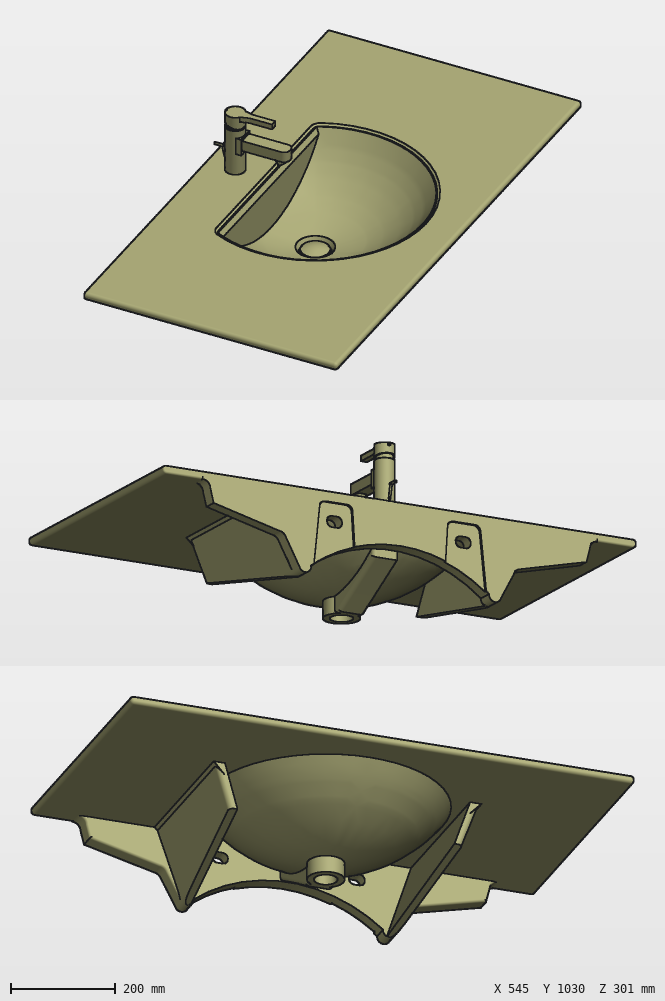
import cadquery as cq
import math

DECK_LENGTH = 1030.0
DECK_DEPTH = 545.0
DECK_THICKNESS = 16.0
DECK_EDGE_RADIUS = 7.0
DECK_REAR_RADIUS = 4.0
TOTAL_HEIGHT = 301.0
FAUCET_HEIGHT = 131.0
BASIN_BOTTOM = FAUCET_HEIGHT - TOTAL_HEIGHT
OVERLAP = 5.0

WALL_THICKNESS = 33.0
WALL_EDGE_RADIUS = 5.0
ARCH_TOP = -88.0
ARCH_RADIUS = 309.0
ARCH_HALF_WIDTH = 194.0
FOOT_Y = 207.0
FOOT_OUTER = (219.0, -161.0)
WING_BEND_START = (249.0, -105.0)
WING_BEND_MIDDLE = (254.0, -99.0)
WING_BEND_END = (263.0, -96.0)
WING_TIP = (406.0, -61.0)
WING_TOP = (413.0, -33.0)
WING_TOP_RADIUS = 16.0
RIB_OUTER_TOP = 268.0
RIB_OUTER_FOOT = 216.0
RIB_THICKNESS = 15.0
RIB_FRONT_TOP = 353.0
RIB_FRONT_BOTTOM = (344.0, -105.0)
RIB_EDGE_RADIUS = 10.0
RIB_ROOT_FLARE = 6.0

MOUNT_DEPTH = 5.0
MOUNT_TOP = -22.0
MOUNT_TOP_SPAN = (104.0, 174.0)
MOUNT_BOTTOM_SPAN = (95.0, 190.0)
MOUNT_CORNER_RADIUS = 13.0
SLOT_Y = 140.0
SLOT_Z = -59.0
SLOT_LENGTH = 33.0
SLOT_HEIGHT = 23.0

BOWL_X = 235.0
RIM_RADIUS = 239.0
RIM_LIP_WIDTH = 5.0
RIM_LIP_DEPTH = 4.0
RIM_LIP_EDGE = 0.5
RIM_REAR_X = 124.0
RIM_CORNER_RADIUS = 23.0
BOWL_REAR_TOP_X = 129.0
BOWL_REAR_X = 139.0
BOWL_REAR_KNEE_Z = -15.0
SHELL_THICKNESS = 9.0
SHELL_TOP = (240.0, -16.0)
SHELL_MIDDLE = (146.0, -98.0)
SHELL_BOTTOM = (36.0, -136.0)

COLLAR_RADIUS = 36.0
LIP_RADIUS = 38.0
SEAT_RADIUS = 32.0
SEAT_Z = -138.0
DRAIN_BORE_RADIUS = 23.0
CHANNEL_WIDTH = 56.0
CHANNEL_EDGE_RADIUS = 8.0
CHANNEL_REAR = (57.0, -98.0)
CHANNEL_KNEE = (148.0, -145.0)
CHANNEL_FOOT_X = 196.0

PLUG_RADIUS = 29.0
PLUG_EDGE_HEIGHT = 6.0
PLUG_DOME_HEIGHT = 6.0

FAUCET_X = 63.0
BODY_DIAMETER = 40.0
BODY_RADIUS = BODY_DIAMETER / 2
BODY_HEIGHT = 100.0
NECK_RADIUS = 18.0
CAP_REAR_BOTTOM = 110.0
CAP_FRONT_BOTTOM = 102.0
LEVER_END_X = 145.0
LEVER_WIDTH = 13.0
LEVER_ROOT_WIDTH = 25.0
LEVER_TAPER_END_X = 97.0
LEVER_THICKNESS = 11.0
MARK_DIAMETER = 5.0
MARK_DEPTH = 2.0
MARK_Z = 128.0
SPOUT_END_X = 181.0
SPOUT_BOTTOM = 57.0
SPOUT_TOP = 79.0
SPOUT_WIDTH = 29.0
SPOUT_END_RADIUS = 12.0
SPOUT_COLLAR_END_X = 84.0
SPOUT_COLLAR_BOTTOM = 47.0
SPOUT_COLLAR_TOP = 83.0
SPOUT_COLLAR_WIDTH = 35.0
OUTLET_RADIUS = 11.0
OUTLET_LENGTH = 18.0
OUTLET_TILT = 30.0
OUTLET_MOUTH = (166.0, 46.0)
ROD_DIAMETER = 4.3
KNOB_DIAMETER = 5.0
KNOB_START_X = 19.0
ROD_TOP = (36.0, 46.0)
ROD_FOOT = (44.0, 13.0)


def box(x_span, y_span, z_span):
    """Block between two values along each axis."""
    size = [span[1] - span[0] for span in (x_span, y_span, z_span)]
    corner = (x_span[0], y_span[0], z_span[0])
    return cq.Workplane("XY").box(*size, centered=False).translate(corner)


def side_prism(points, width):
    """XZ outline extruded evenly to both sides of the Y = 0 plane."""
    return cq.Workplane("XZ").polyline(points).close().extrude(width / 2, both=True)


def rod(start, end, diameter):
    """Round rod between two XZ points in the Y = 0 plane."""
    run = cq.Vector(end[0] - start[0], 0, end[1] - start[1])
    base = cq.Vector(start[0], 0, start[1])
    return cq.Workplane(cq.Solid.makeCylinder(diameter / 2, run.Length, base, run))


def both_sides(shape):
    """Shape together with its mirror image across the Y = 0 plane."""
    return shape.union(shape.mirror("XZ"))



def make_deck():
    deck = box((0, DECK_DEPTH), (-DECK_LENGTH / 2, DECK_LENGTH / 2), (-DECK_THICKNESS, 0))
    deck = deck.edges(">X or >Y or <Y").edges("not <X").fillet(DECK_EDGE_RADIUS)
    return deck.edges("<X and >Z").fillet(DECK_REAR_RADIUS)


def wall_prism(length):
    """Rear wall silhouette, extruded forward from X = 0."""
    arch_side_z = ARCH_TOP - ARCH_RADIUS + math.sqrt(ARCH_RADIUS**2 - ARCH_HALF_WIDTH**2)
    arch_half_y = ARCH_HALF_WIDTH / 2
    arch_half_z = ARCH_TOP - ARCH_RADIUS + math.sqrt(ARCH_RADIUS**2 - arch_half_y**2)
    wing_root = (WING_TOP[0] + WING_TOP_RADIUS, -DECK_THICKNESS)
    wing_curve = (
        wing_root[0] - WING_TOP_RADIUS * math.sin(math.pi / 4),
        wing_root[1] - WING_TOP_RADIUS * (1 - math.cos(math.pi / 4)),
    )
    half = (
        cq.Workplane("YZ")
        .moveTo(0, ARCH_TOP)
        .threePointArc((arch_half_y, arch_half_z), (ARCH_HALF_WIDTH, arch_side_z))
        .threePointArc((FOOT_Y, BASIN_BOTTOM), FOOT_OUTER)
        .lineTo(*WING_BEND_START)
        .threePointArc(WING_BEND_MIDDLE, WING_BEND_END)
        .lineTo(*WING_TIP)
        .lineTo(*WING_TOP)
        .threePointArc(wing_curve, wing_root)
        .lineTo(wing_root[0], -DECK_THICKNESS + OVERLAP)
        .lineTo(0, -DECK_THICKNESS + OVERLAP)
        .close()
        .extrude(length)
    )
    return both_sides(half)


def make_wall():
    """Rear wall with the front edges of its two wings rounded."""
    wall = wall_prism(WALL_THICKNESS)
    for side in (-1, 1):
        wing = cq.selectors.BoxSelector(
            (0, side * FOOT_OUTER[0], BASIN_BOTTOM),
            (DECK_DEPTH, side * DECK_LENGTH / 2, -DECK_THICKNESS),
        )
        wall = wall.faces(">X").edges(wing).fillet(WALL_EDGE_RADIUS)
    return wall


def make_ribs():
    """Leaning ribs, flared at the deck, that run forward from the feet and get lower towards the front."""
    rib_top = -DECK_THICKNESS + OVERLAP
    section = [
        (RIB_OUTER_TOP + RIB_ROOT_FLARE, rib_top),
        (RIB_OUTER_TOP + RIB_ROOT_FLARE, -DECK_THICKNESS),
        (RIB_OUTER_TOP, -DECK_THICKNESS - RIB_ROOT_FLARE),
        (RIB_OUTER_FOOT, BASIN_BOTTOM),
        (RIB_OUTER_FOOT - RIB_THICKNESS, BASIN_BOTTOM),
        (RIB_OUTER_TOP - RIB_THICKNESS, rib_top),
    ]
    side = [
        (0, rib_top),
        (0, BASIN_BOTTOM),
        (WALL_THICKNESS, BASIN_BOTTOM),
        RIB_FRONT_BOTTOM,
        (RIB_FRONT_TOP, rib_top),
    ]
    rib = cq.Workplane("YZ").polyline(section).close().extrude(RIB_FRONT_TOP)
    rib = rib.intersect(side_prism(side, DECK_LENGTH))
    rib = rib.faces(">X").edges("not |Y").edges("<Z").edges(">Y").fillet(RIB_EDGE_RADIUS)
    return both_sides(rib).intersect(wall_prism(RIB_FRONT_TOP))


def cut_mounts(basin):
    """Shallow tapered recess with a through slot, on each side of the rear wall."""
    outline = [
        (MOUNT_TOP_SPAN[0], MOUNT_TOP),
        (MOUNT_TOP_SPAN[1], MOUNT_TOP),
        (MOUNT_BOTTOM_SPAN[1], BASIN_BOTTOM),
        (MOUNT_BOTTOM_SPAN[0], BASIN_BOTTOM),
    ]
    recess = cq.Workplane("YZ").polyline(outline).close().extrude(MOUNT_DEPTH)
    recess = recess.edges("|X and >Z").fillet(MOUNT_CORNER_RADIUS)
    slot = (
        cq.Workplane("YZ")
        .center(SLOT_Y, SLOT_Z)
        .slot2D(SLOT_LENGTH, SLOT_HEIGHT)
        .extrude(WALL_THICKNESS)
    )
    return basin.cut(both_sides(recess)).cut(both_sides(slot))


def turned_bowl(rim, middle, bottom):
    """Solid of revolution whose wall is an arc through three radius and height pairs."""
    return (
        cq.Workplane("XZ")
        .moveTo(0, rim[1])
        .lineTo(*rim)
        .threePointArc(middle, bottom)
        .lineTo(0, bottom[1])
        .close()
        .revolve(360, (0, 0), (0, 1))
        .translate((BOWL_X, 0, 0))
    )


def make_shell():
    """Outside of the bowl, from the rear wall forward and just into the deck."""
    shell = turned_bowl(SHELL_TOP, SHELL_MIDDLE, SHELL_BOTTOM)
    in_front = box((OVERLAP, DECK_DEPTH), (-DECK_LENGTH / 2, DECK_LENGTH / 2), (BASIN_BOTTOM, 0))
    return shell.intersect(in_front)


def cavity():
    """Inside of the bowl, cut off by its rear wall, with a sloping lip around the rim."""
    inward = SHELL_THICKNESS * math.cos(math.pi / 4)
    inside = turned_bowl(
        (RIM_RADIUS - RIM_LIP_WIDTH, 0),
        (SHELL_MIDDLE[0] - inward, SHELL_MIDDLE[1] + inward),
        (SHELL_BOTTOM[0], SHELL_BOTTOM[1] + SHELL_THICKNESS),
    )
    in_front_of_rear_wall = side_prism(
        [
            (BOWL_REAR_TOP_X, 0),
            (BOWL_REAR_X, BOWL_REAR_KNEE_Z),
            (BOWL_REAR_X, BASIN_BOTTOM),
            (DECK_DEPTH, BASIN_BOTTOM),
            (DECK_DEPTH, 0),
        ],
        DECK_LENGTH,
    )
    lip = cq.Workplane("XY").center(BOWL_X, 0).circle(RIM_RADIUS).extrude(-RIM_LIP_DEPTH)
    lip = lip.intersect(box((RIM_REAR_X, DECK_DEPTH), (-RIM_RADIUS, RIM_RADIUS), (-RIM_LIP_DEPTH, 0)))
    lip = lip.edges("|Z and <X").fillet(RIM_CORNER_RADIUS)
    lip = lip.faces("<Z").chamfer(RIM_LIP_DEPTH - RIM_LIP_EDGE, RIM_LIP_WIDTH)
    return inside.intersect(in_front_of_rear_wall).union(lip)


def make_drain_collar():
    top = SHELL_BOTTOM[1] + OVERLAP
    return (
        cq.Workplane("XY", origin=(BOWL_X, 0, BASIN_BOTTOM))
        .circle(COLLAR_RADIUS)
        .extrude(top - BASIN_BOTTOM)
    )


def make_overflow_channel():
    """Rounded duct behind the bowl, leading down into the drain collar."""
    channel_top = CHANNEL_REAR[1] + CHANNEL_WIDTH / 2
    channel = side_prism(
        [
            (CHANNEL_REAR[0], channel_top),
            CHANNEL_REAR,
            CHANNEL_KNEE,
            (CHANNEL_FOOT_X, BASIN_BOTTOM),
            (BOWL_X, BASIN_BOTTOM),
            (BOWL_X, channel_top),
        ],
        CHANNEL_WIDTH,
    )
    return channel.edges(">Y or <Y").edges("not (>X or >Z)").fillet(CHANNEL_EDGE_RADIUS)


def drain_bore():
    """Conical lip, flat plug seat and outlet bore, turned about the drain axis."""
    lip_top = SHELL_BOTTOM[1] + SHELL_THICKNESS + OVERLAP
    return (
        cq.Workplane("XZ")
        .polyline(
            [
                (0, lip_top),
                (LIP_RADIUS, lip_top),
                (LIP_RADIUS, SHELL_BOTTOM[1] + SHELL_THICKNESS),
                (SEAT_RADIUS, SEAT_Z),
                (DRAIN_BORE_RADIUS, SEAT_Z),
                (DRAIN_BORE_RADIUS, BASIN_BOTTOM),
                (0, BASIN_BOTTOM),
            ]
        )
        .close()
        .revolve(360, (0, 0), (0, 1))
        .translate((BOWL_X, 0, 0))
    )


def make_basin():
    basin = make_deck().union(make_wall()).union(make_ribs())
    basin = basin.union(make_shell()).union(make_drain_collar()).union(make_overflow_channel())
    basin = basin.cut(cavity()).cut(drain_bore())
    return cut_mounts(basin)



def make_plug():
    """Domed disc that rests on the drain seat."""
    edge_top = SEAT_Z + PLUG_EDGE_HEIGHT
    dome_radius = (PLUG_RADIUS**2 + PLUG_DOME_HEIGHT**2) / (2 * PLUG_DOME_HEIGHT)
    half_radius = PLUG_RADIUS / 2
    dome_centre = edge_top + PLUG_DOME_HEIGHT - dome_radius
    half_height = dome_centre + math.sqrt(dome_radius**2 - half_radius**2)
    return (
        cq.Workplane("XZ")
        .moveTo(0, SEAT_Z)
        .lineTo(PLUG_RADIUS, SEAT_Z)
        .lineTo(PLUG_RADIUS, edge_top)
        .threePointArc((half_radius, half_height), (0, edge_top + PLUG_DOME_HEIGHT))
        .close()
        .revolve(360, (0, 0), (0, 1))
        .translate((BOWL_X, 0, 0))
    )



def faucet_cylinder(radius, bottom, top):
    return cq.Workplane("XY", origin=(FAUCET_X, 0, bottom)).circle(radius).extrude(top - bottom)


def make_handle():
    """Cap with a slanted underside, its lever and a round mark at the rear."""
    rear_x = FAUCET_X - BODY_RADIUS
    front_x = FAUCET_X + BODY_RADIUS
    slant = side_prism(
        [
            (rear_x, CAP_REAR_BOTTOM),
            (front_x, CAP_FRONT_BOTTOM),
            (front_x, FAUCET_HEIGHT),
            (rear_x, FAUCET_HEIGHT),
        ],
        2 * BODY_RADIUS,
    )
    cap = faucet_cylinder(BODY_RADIUS, BODY_HEIGHT, FAUCET_HEIGHT).intersect(slant)
    half_lever = [
        (FAUCET_X, 0),
        (FAUCET_X, LEVER_ROOT_WIDTH / 2),
        (front_x - OVERLAP, LEVER_ROOT_WIDTH / 2),
        (LEVER_TAPER_END_X, LEVER_WIDTH / 2),
        (LEVER_END_X, LEVER_WIDTH / 2),
        (LEVER_END_X, 0),
    ]
    lever = (
        cq.Workplane("XY", origin=(0, 0, FAUCET_HEIGHT - LEVER_THICKNESS))
        .polyline(half_lever)
        .close()
        .extrude(LEVER_THICKNESS)
    )
    mark = rod((rear_x, MARK_Z), (rear_x + MARK_DEPTH, MARK_Z), MARK_DIAMETER)
    return cap.union(both_sides(lever)).cut(mark)


def make_spout():
    """Straight spout with a rounded end, a collar at its root and a tilted outlet."""
    half_width = SPOUT_WIDTH / 2
    half_collar = SPOUT_COLLAR_WIDTH / 2
    spout = box((FAUCET_X, SPOUT_END_X), (-half_width, half_width), (SPOUT_BOTTOM, SPOUT_TOP))
    spout = spout.edges("|Z and >X").fillet(SPOUT_END_RADIUS)
    collar = box(
        (FAUCET_X, SPOUT_COLLAR_END_X),
        (-half_collar, half_collar),
        (SPOUT_COLLAR_BOTTOM, SPOUT_COLLAR_TOP),
    )
    tilt = math.radians(OUTLET_TILT)
    outlet_root = (
        OUTLET_MOUTH[0] - OUTLET_LENGTH * math.sin(tilt),
        OUTLET_MOUTH[1] + OUTLET_LENGTH * math.cos(tilt),
    )
    outlet = rod(outlet_root, OUTLET_MOUTH, 2 * OUTLET_RADIUS)
    return spout.union(collar).union(outlet)


def make_lift_rod():
    """Lift rod behind the faucet body, with its horizontal knob."""
    knob = rod((KNOB_START_X, ROD_TOP[1]), (ROD_TOP[0] + ROD_DIAMETER / 2, ROD_TOP[1]), KNOB_DIAMETER)
    return knob.union(rod(ROD_TOP, ROD_FOOT, ROD_DIAMETER))


def make_faucet():
    body = faucet_cylinder(BODY_RADIUS, 0, BODY_HEIGHT)
    neck = faucet_cylinder(NECK_RADIUS, BODY_HEIGHT, CAP_REAR_BOTTOM)
    return body.union(neck).union(make_handle()).union(make_spout()).union(make_lift_rod())


basin = make_basin()
plug = make_plug()
faucet = make_faucet()

result = cq.Compound.makeCompound([body.solids().val() for body in (basin, plug, faucet)])